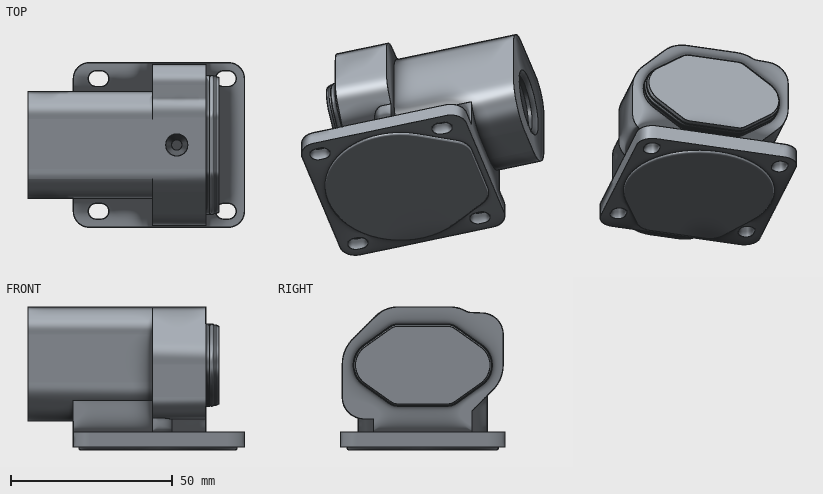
import cadquery as cq
import math

merge_distance = 6.7e-07

total_length = 67.0
plate_width = 51.0
plate_start = 14.0
plate_length = total_length - plate_start
plate_bottom = 0.95
plate_top = 5.6
plate_corner_radius = 5.0

slot_length = 6.3
slot_width = 4.8
slot_y = 20.5
slot_x_positions = (21.85, 61.25)

lip_radius = 23.4
lip_center_x = 41.35
lip_nose_x = 15.75
lip_nose_radius = 6.0
lip_taper_angle = 30.0
lip_edge_radius = 0.7

total_height = 44.3
body_length = 55.0
body_half_width = 16.55
body_bottom = 8.9
body_top_radius = 8.6
body_bottom_radius = 11.85
body_crown_end_y = 10.6
pedestal_half_width = 15.2
pedestal_top = body_bottom + body_bottom_radius

flange_start = 38.5
flange_half_width = 24.9
flange_length = body_length - flange_start

shoulder_height = 42.15
shoulder_radius = 6.7
valley_y = 14.0
valley_height = 42.6
valley_radius = 3.35
crown_end_y = 11.05
crown_radius = 9.7

bevel_angle = 45.0
bevel_start_y = 11.7
bevel_crown_radius = 10.05
bevel_slope = math.tan(math.radians(bevel_angle))
bevel_bottom = total_height - (flange_half_width - bevel_start_y) * bevel_slope
side_radius = 11.2
undercut_height = 21.8
heel_bottom = 9.65
heel_radius = 6.7

foot_half_width = 19.95
foot_length = 6.1
foot_top = 20.1
foot_corner_radius = 3.2

collar_center_z = 26.25
collar_half_height = 12.7
collar_flat_half_width = 9.2
collar_point_y = 27.1
collar_point_radius = 7.65
collar_shoulder_radius = 4.75
collar_base_length = 1.15
seal_radius = 0.75
collar_end_length = 1.5
collar_end_inset = 0.3
collar_end_chamfer_depth = 0.5
collar_end_chamfer_length = 0.95

bore_z = 25.5
bore_radius = 8.8
bore_depth = 2.75
bore_chamfer = 1.5
screw_x = 46.0
screw_radius = 3.4
screw_tip_radius = 1.6
screw_depth = 8.05


def rounded_outline(workplane, corners):
    """Closed wire through (u, v, radius) corners, each rounded by a tangent arc."""
    wire = workplane
    end = None
    for index, (u, v, radius) in enumerate(corners):
        corner = cq.Vector(u, v)
        previous_u, previous_v, _ = corners[index - 1]
        next_u, next_v, _ = corners[(index + 1) % len(corners)]
        back = (cq.Vector(previous_u, previous_v) - corner).normalized()
        ahead = (cq.Vector(next_u, next_v) - corner).normalized()
        half_angle = back.getAngle(ahead) / 2
        setback = radius / math.tan(half_angle)
        entry = corner + back * setback
        leave = corner + ahead * setback
        bisector = (back + ahead).normalized()
        middle = corner + bisector * (radius / math.sin(half_angle) - radius)
        if end is None:
            wire = wire.moveTo(entry.x, entry.y)
        elif (entry - end).Length > merge_distance:
            wire = wire.lineTo(entry.x, entry.y)
        end = leave
        if radius > 0:
            wire = wire.threePointArc((middle.x, middle.y), (leave.x, leave.y))
    return wire.close()


def cross_section(x):
    """Workplane across the body at x, with local axes Y and Z."""
    return cq.Workplane("YZ", origin=(x, 0, 0))


def make_plate():
    plate = (
        cq.Workplane("XY", origin=(plate_start, -plate_width / 2, plate_bottom))
        .rect(plate_length, plate_width, centered=False)
        .extrude(plate_top - plate_bottom)
        .edges("|Z")
        .fillet(plate_corner_radius)
    )
    slot_centers = [(x, side * slot_y) for x in slot_x_positions for side in (-1, 1)]
    slots = (
        cq.Workplane("XY")
        .pushPoints(slot_centers)
        .slot2D(slot_length, slot_width)
        .extrude(plate_top)
    )
    return plate.cut(slots)


def make_lip():
    taper = math.radians(lip_taper_angle)
    touch_x = lip_center_x - lip_radius * math.sin(taper)
    touch_y = lip_radius * math.cos(taper)
    nose_y = touch_y - (touch_x - lip_nose_x) * math.tan(taper)
    nose = rounded_outline(
        cq.Workplane("XY"),
        [
            (lip_nose_x, nose_y, lip_nose_radius),
            (touch_x, touch_y, 0),
            (lip_center_x, 0, 0),
            (touch_x, -touch_y, 0),
            (lip_nose_x, -nose_y, lip_nose_radius),
        ],
    ).extrude(plate_bottom)
    disc = cq.Workplane("XY").center(lip_center_x, 0).circle(lip_radius).extrude(plate_bottom)
    return disc.union(nose).clean().faces("<Z").edges().fillet(lip_edge_radius)


def make_body():
    crown_start_y = bevel_start_y - bevel_crown_radius * math.tan(math.radians(bevel_angle / 2))
    crown_turn = math.asin((body_crown_end_y - crown_start_y) / bevel_crown_radius)
    crown_setback = bevel_crown_radius * math.tan(crown_turn / 2)
    crown_corner_y = crown_start_y + crown_setback
    tangent_run = body_half_width - crown_corner_y
    tangent_drop = tangent_run * math.tan(crown_turn)
    side_setback = tangent_run / math.cos(crown_turn) - crown_setback
    side_blend_radius = side_setback / math.tan((math.pi / 2 - crown_turn) / 2)

    body = rounded_outline(
        cross_section(0),
        [
            (body_half_width, body_bottom, body_bottom_radius),
            (body_half_width, total_height, body_top_radius),
            (-crown_corner_y, total_height, bevel_crown_radius),
            (-body_half_width, total_height - tangent_drop, side_blend_radius),
            (-body_half_width, body_bottom, body_bottom_radius),
        ],
    ).extrude(flange_start)
    pedestal = (
        cq.Workplane("XY", origin=(plate_start, -pedestal_half_width, plate_bottom))
        .rect(body_length - plate_start, 2 * pedestal_half_width, centered=False)
        .extrude(pedestal_top - plate_bottom)
    )
    return body.union(pedestal)


def make_flange():
    undercut_end = undercut_height - (flange_half_width - pedestal_half_width) * bevel_slope
    flange = rounded_outline(
        cross_section(flange_start),
        [
            (pedestal_half_width, undercut_end, 0),
            (flange_half_width, undercut_height, side_radius),
            (flange_half_width, shoulder_height, shoulder_radius),
            (valley_y, valley_height, valley_radius),
            (crown_end_y, total_height, crown_radius),
            (-bevel_start_y, total_height, bevel_crown_radius),
            (-flange_half_width, bevel_bottom, side_radius),
            (-flange_half_width, heel_bottom, heel_radius),
            (-pedestal_half_width, heel_bottom, 0),
        ],
    ).extrude(flange_length)
    foot = (
        cq.Workplane("XY", origin=(flange_start, -foot_half_width, plate_bottom))
        .rect(foot_length, 2 * foot_half_width, centered=False)
        .extrude(foot_top - plate_bottom)
        .edges("|Z and >X")
        .fillet(foot_corner_radius)
    )
    return flange.union(foot)


def collar_outline(x, inset=0.0):
    """Outline of the collar: six-sided, pointed towards +Y and -Y, shrunk by inset."""
    top = collar_center_z + collar_half_height
    bottom = collar_center_z - collar_half_height
    outline = rounded_outline(
        cross_section(x),
        [
            (collar_point_y, collar_center_z, collar_point_radius),
            (collar_flat_half_width, top, collar_shoulder_radius),
            (-collar_flat_half_width, top, collar_shoulder_radius),
            (-collar_point_y, collar_center_z, collar_point_radius),
            (-collar_flat_half_width, bottom, collar_shoulder_radius),
            (collar_flat_half_width, bottom, collar_shoulder_radius),
        ],
    )
    if inset > 0:
        outline = outline.offset2D(-inset)
    return outline


def make_collar():
    groove_start = body_length + collar_base_length
    groove_length = 2 * seal_radius
    base = collar_outline(body_length).extrude(collar_base_length)
    groove_floor = collar_outline(groove_start, seal_radius).extrude(groove_length)
    end = (
        collar_outline(groove_start + groove_length, collar_end_inset)
        .extrude(collar_end_length)
        .faces(">X")
        .chamfer(collar_end_chamfer_length, collar_end_chamfer_depth)
    )

    seal_path = collar_outline(groove_start + seal_radius, seal_radius).val()
    seal_section = cq.Plane(origin=seal_path.startPoint(), normal=seal_path.tangentAt(0))
    seal = cq.Workplane(seal_section).circle(seal_radius).sweep(cq.Workplane(seal_path))
    return base.union(groove_floor).union(end).union(seal)


def make_bore():
    bore = cross_section(0).center(0, bore_z).circle(bore_radius).extrude(bore_depth)
    mouth = cq.Solid.makeCone(
        bore_radius + bore_chamfer,
        bore_radius,
        bore_chamfer,
        pnt=cq.Vector(0, 0, bore_z),
        dir=cq.Vector(1, 0, 0),
    )
    return bore.union(cq.Workplane(mouth))


def make_screw_hole():
    floor = total_height - screw_depth
    return (
        cq.Workplane("XY", origin=(screw_x, 0, floor))
        .circle(screw_radius)
        .extrude(screw_depth)
        .faces("<Z")
        .chamfer(screw_radius - screw_tip_radius)
    )


result = (
    make_plate()
    .union(make_lip())
    .union(make_body())
    .union(make_flange())
    .union(make_collar())
    .cut(make_bore())
    .cut(make_screw_hole())
)